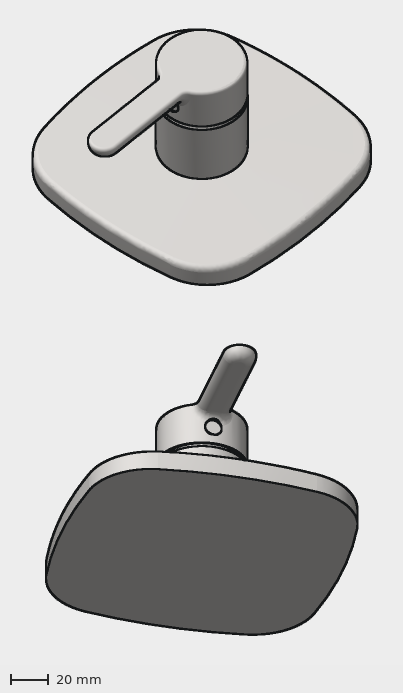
import cadquery as cq
import math

plate_width = 153.3
plate_half = plate_width / 2
joint_along = 43.5
side_sag = 3.4
plate_rim_height = 12.7
plate_crown_height = 13.8
plate_edge_radius = 3.2

body_radius = 24.3
body_top = 50.6
neck_radius = 23.4

overall_height = 77.9
cap_radius = 24.2
cap_bottom = 53.0
top_edge_radius = 2.0
overall_length = 162.2
lever_reach = overall_length - plate_half
lever_half_width = 9.0
lever_thickness = 8.5
lever_under_radius = 5.8
lever_root_radius = 4.9

recess_radius = 4.5
recess_drop = 14.8
recess_depth = 0.6


def arc_radius(half_chord, sag):
    return (half_chord ** 2 + sag ** 2) / (2 * sag)


def make_plate():
    """Square with bowed sides and tangent round corners under a domed top."""
    joint_across = plate_half - side_sag
    side_radius = arc_radius(joint_along, side_sag)
    side_angle = math.asin(joint_along / side_radius)
    corner_radius = (joint_across - joint_along) / (math.cos(side_angle) - math.sin(side_angle))
    corner_center = joint_along - corner_radius * math.sin(side_angle)
    corner_mid = corner_center + corner_radius * math.sqrt(0.5)

    outline = cq.Workplane("XY").moveTo(-joint_along, joint_across)
    for quarter in range(4):
        turn = -quarter * math.pi / 2

        def turned(x, y):
            return (x * math.cos(turn) - y * math.sin(turn), x * math.sin(turn) + y * math.cos(turn))

        outline = outline.threePointArc(turned(0, plate_half), turned(joint_along, joint_across))
        outline = outline.threePointArc(turned(corner_mid, corner_mid), turned(joint_across, joint_along))
    plate = outline.close().extrude(plate_crown_height)

    dome_radius = arc_radius(plate_half, plate_crown_height - plate_rim_height)
    dome = cq.Workplane("XY").sphere(dome_radius).translate((0, 0, plate_crown_height - dome_radius))
    return plate.intersect(dome).faces(">Z").edges().fillet(plate_edge_radius)


def make_body():
    """Cylinder whose top tapers inward to the cap, leaving a V-shaped groove."""
    half_profile = [
        (0, 0),
        (body_radius, 0),
        (body_radius, body_top),
        (neck_radius, cap_bottom),
        (0, cap_bottom),
    ]
    return cq.Workplane("XZ").polyline(half_profile).close().revolve(360, (0, 0), (0, 1))


def make_handle():
    """Round cap with a forward lever blended into it."""
    cap = cq.Workplane("XY").workplane(offset=cap_bottom).circle(cap_radius)
    cap = cap.extrude(overall_height - cap_bottom)

    tip_center = lever_half_width - lever_reach
    lever = (
        cq.Workplane("XY")
        .workplane(offset=overall_height - lever_thickness)
        .moveTo(-lever_half_width, 0)
        .lineTo(-lever_half_width, tip_center)
        .threePointArc((0, -lever_reach), (lever_half_width, tip_center))
        .lineTo(lever_half_width, 0)
        .close()
        .extrude(lever_thickness)
    )
    lever = lever.faces("<Z").edges("not >Y").fillet(lever_under_radius)

    margin = 1.6
    root_zone = cq.selectors.BoxSelector(
        (-lever_half_width - margin, -cap_radius - margin, overall_height - lever_thickness - margin),
        (lever_half_width + margin, margin - cap_radius, overall_height - top_edge_radius),
    )
    handle = cap.union(lever)
    handle = handle.edges(root_zone).fillet(lever_root_radius)
    handle = handle.faces(">Z").edges().fillet(top_edge_radius)

    recess = (
        cq.Workplane("XZ", origin=(0, recess_depth - cap_radius, overall_height - recess_drop))
        .circle(recess_radius)
        .extrude(cap_radius)
    )
    return handle.cut(recess)


result = make_plate().union(make_body()).union(make_handle())